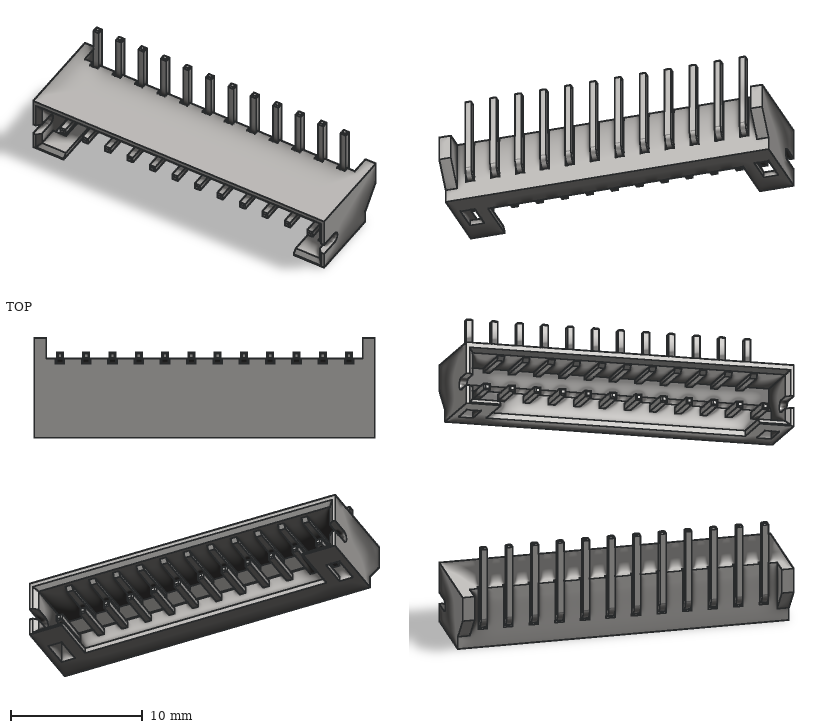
import cadquery as cq
length = 25.9
depth = 7.6
housing_height = 4.8
total_height = 8.2
rear_wall_y = 6.03
ear_width = 0.93
ear_slope_bottom_z = 1.0
ear_slope_top_z = 2.87

roof_thickness = 0.73
floor_thickness = 0.45
side_thickness = 0.6
mouth_chamfer = 0.34
cavity_depth = 4.27
ledge_z = 2.72
ledge_chamfer = 0.57
upper_cavity_depth = cavity_depth + ledge_chamfer

floor_recess_depth = 4.01
floor_tab_width = 2.72
window_width = 1.15
side_slot_length = 1.97
side_slot_bottom_z = 1.42
side_slot_height = 0.93

rib_width = 0.52
rib_height = 0.3
rib_front_y = 0.67

pin_count = 12
pin_row_span = 22.0
pin_size = 0.5
pin_tip_y = 1.04
pin_axis_y = 6.25
pin_axis_z = 1.7
pin_inner_bend_radius = 0.5
pin_tip_chamfer = 0.1
pin_notch_width = 0.7
pin_notch_depth = 0.4

pin_pitch = pin_row_span / (pin_count - 1)
pin_positions = [(i - (pin_count - 1) / 2) * pin_pitch for i in range(pin_count)]
rib_positions = [x + pin_pitch / 2 for x in pin_positions[:-1]]
ceiling_z = housing_height - roof_thickness
cavity_width = length - 2 * side_thickness
pin_bottom_z = pin_axis_z - pin_size / 2


def box(x_range, y_range, z_range):
    """Box between the given limits along each axis."""
    (x0, x1), (y0, y1), (z0, z1) = x_range, y_range, z_range
    return cq.Workplane("XY").box(x1 - x0, y1 - y0, z1 - z0, centered=False).translate((x0, y0, z0))


def centered_box(x, width, y_range, z_range):
    """Box of the given width centred at x."""
    return box((x - width / 2, x + width / 2), y_range, z_range)


def side_profile(points, x, width):
    """Outline of (Y, Z) points extruded to the given width, centred at x."""
    outline = cq.Workplane("YZ").polyline(points).close()
    return outline.extrude(width / 2, both=True).translate((x, 0, 0))


def make_shell():
    """Outer block with a sloped ear standing out behind each end."""
    shell = side_profile(
        [
            (0, 0),
            (rear_wall_y, 0),
            (rear_wall_y, ear_slope_bottom_z),
            (depth, ear_slope_top_z),
            (depth, housing_height),
            (0, housing_height),
        ],
        0,
        length,
    )
    between_ears = centered_box(0, length - 2 * ear_width, (rear_wall_y, depth), (0, housing_height))
    return shell.cut(between_ears)


def make_cavity():
    """Cavity with a flared mouth; its upper back wall is set back above a sloped ledge."""
    cavity = side_profile(
        [
            (0, floor_thickness),
            (cavity_depth, floor_thickness),
            (cavity_depth, ledge_z - ledge_chamfer),
            (upper_cavity_depth, ledge_z),
            (upper_cavity_depth, ceiling_z),
            (0, ceiling_z),
        ],
        0,
        cavity_width,
    )
    mouth_center_z = (floor_thickness + ceiling_z) / 2
    inner_height = ceiling_z - floor_thickness
    mouth = (
        cq.Workplane("XZ", origin=(0, 0, mouth_center_z))
        .rect(cavity_width + 2 * mouth_chamfer, inner_height + 2 * mouth_chamfer)
        .workplane(offset=-mouth_chamfer)
        .rect(cavity_width, inner_height)
        .loft(ruled=True)
    )
    return cavity.union(mouth)


def make_floor_openings():
    """Cut-out between the two front floor tabs, and a window behind each tab."""
    floor_range = (0, floor_thickness)
    openings = centered_box(0, length - 2 * floor_tab_width, (0, floor_recess_depth), floor_range)
    for side in (-1, 1):
        window_x = side * (cavity_width - window_width) / 2
        window = centered_box(window_x, window_width, (side_slot_length, cavity_depth), floor_range)
        openings = openings.union(window)
    return openings


def make_side_slots():
    """Slot through both side walls, open at the front and rounded at its inner end."""
    slot_z = (side_slot_bottom_z, side_slot_bottom_z + side_slot_height)
    slot_radius = side_slot_height / 2
    round_end_y = side_slot_length - slot_radius
    slot = centered_box(0, length, (0, round_end_y), slot_z)
    round_end = (
        cq.Workplane("YZ", origin=(0, round_end_y, side_slot_bottom_z + slot_radius))
        .circle(slot_radius)
        .extrude(length / 2, both=True)
    )
    return slot.union(round_end)


def make_rib(x):
    """Rib under the roof with a sloped front end."""
    rib_bottom_z = ceiling_z - rib_height
    return side_profile(
        [
            (rib_front_y, ceiling_z),
            (rib_front_y + rib_height, rib_bottom_z),
            (upper_cavity_depth, rib_bottom_z),
            (upper_cavity_depth, ceiling_z),
        ],
        x,
        rib_width,
    )


def make_pin_notch(x):
    """Notch in the rear wall that clears the bend of a pin."""
    notch_y = (rear_wall_y - pin_notch_depth, rear_wall_y)
    return centered_box(x, pin_notch_width, notch_y, (pin_bottom_z, housing_height))


def make_pin(x):
    """L-shaped pin with a rounded bend and tapered tips."""
    half = pin_size / 2
    outer_y = pin_axis_y + half
    inner_y = pin_axis_y - half
    pin_top_z = pin_axis_z + half
    pin = side_profile(
        [
            (pin_tip_y, pin_bottom_z),
            (outer_y, pin_bottom_z),
            (outer_y, total_height),
            (inner_y, total_height),
            (inner_y, pin_top_z),
            (pin_tip_y, pin_top_z),
        ],
        x,
        pin_size,
    )
    inner_corner = cq.NearestToPointSelector((x, inner_y, pin_top_z))
    outer_corner = cq.NearestToPointSelector((x, outer_y, pin_bottom_z))
    pin = pin.edges("|X").edges(inner_corner).fillet(pin_inner_bend_radius)
    pin = pin.edges("|X").edges(outer_corner).fillet(pin_inner_bend_radius + pin_size)
    return pin.faces("<Y").chamfer(pin_tip_chamfer).faces(">Z").chamfer(pin_tip_chamfer)


result = make_shell().cut(make_cavity()).cut(make_floor_openings()).cut(make_side_slots())
for rib_x in rib_positions:
    result = result.union(make_rib(rib_x))
for pin_x in pin_positions:
    result = result.cut(make_pin_notch(pin_x)).union(make_pin(pin_x))